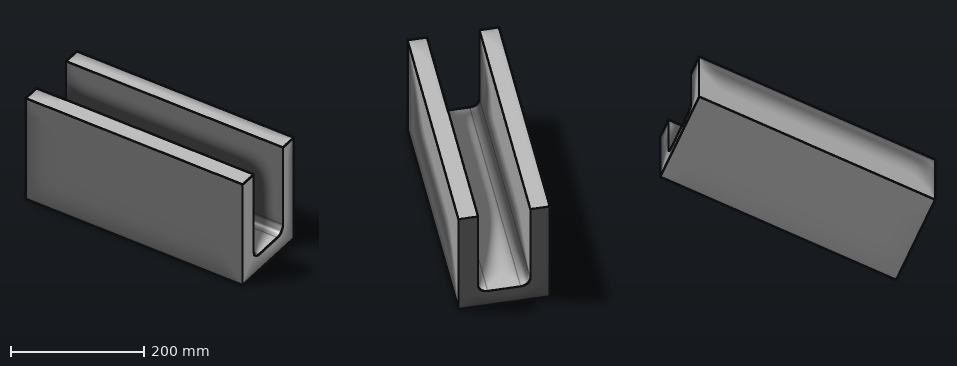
import cadquery as cq

length = 390.0
width = 140.0
height = 190.0
wall = 30.0
corner_radius = 15.0

channel_width = width - 2 * wall
channel_depth = height - wall

block = cq.Workplane("XY").box(length, width, height, centered=(True, True, False))

channel = (
    cq.Workplane("XY", origin=(0, 0, wall))
    .box(length, channel_width, channel_depth, centered=(True, True, False))
    .edges("|X and <Z")
    .fillet(corner_radius)
)

result = block.cut(channel)